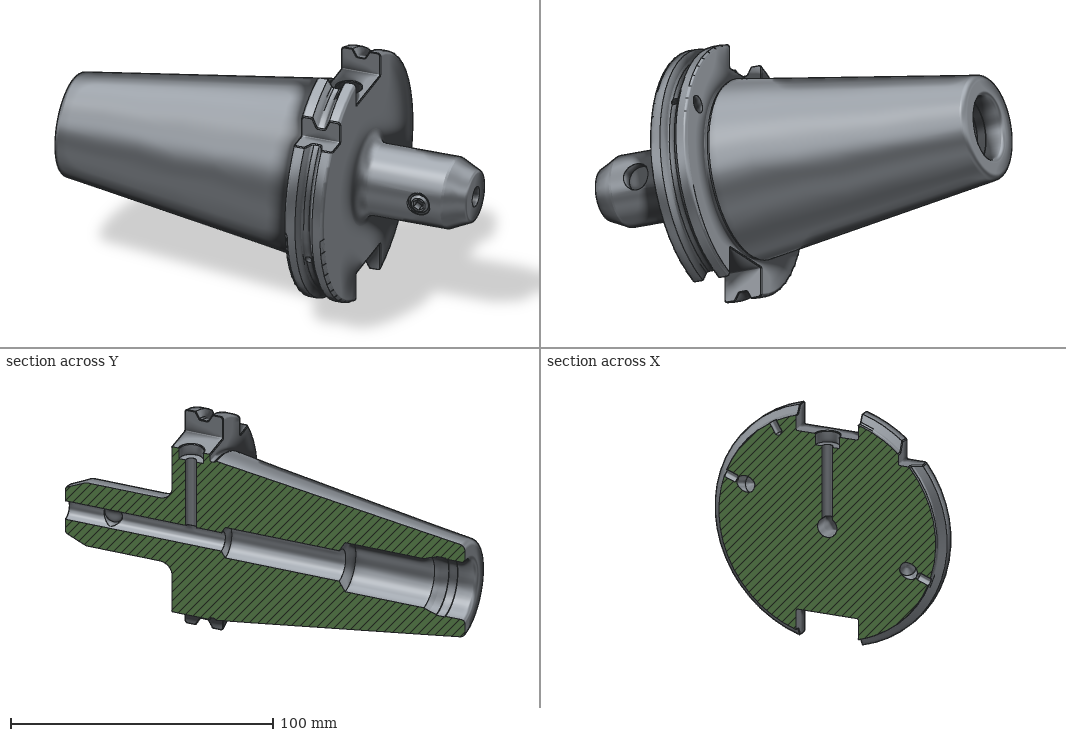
import cadquery as cq
import math

overall_length = 164.8
flange_start = 105.0
flange_end = 121.0
flange_middle = (flange_start + flange_end) / 2

taper_end_x = 102.5
taper_ratio = 7 / 24
taper_large_radius = 35.1
taper_small_radius = taper_large_radius - taper_end_x * taper_ratio / 2
taper_end_fillet = 2.5
neck_radius = 34.5
neck_start_x = 103.5
neck_fillet = 0.3

flange_radius = 48.8
flange_edge_fillet = 1.3
groove_floor_radius = 45.6
groove_floor_half_width = 1.6
groove_half_angle = 30.0
groove_fillet = 1.0

shank_radius = 14.0
shank_root_fillet = 5.0
nose_start_x = 156.2
nose_angle = 25.0
nose_shoulder_fillet = 2.3
nose_tip_fillet = 1.3

bore_mouth_fillet = 1.5
pilot_radius = 12.5
pilot_depth = 8.2
relief_radius = 12.9
relief_end = 11.9
lead_radius = 11.7
lead_end = 14.7
thread_radius = 10.7
thread_start = 17.0
thread_depth = 49.5
coolant_bore_radius = 6.6
coolant_bore_depth = 98.8
tool_bore_radius = 4.0
drill_tip_angle = 59.0

slot_width = 25.9
slot_half_width = slot_width / 2
top_slot_floor = 37.5
bottom_slot_floor = 35.3
notch_offset = 30.0
slot_corner_fillet = 0.5
slot_edge_chamfer = 0.3

recess_radius = 5.0
recess_chamfer = 0.3
recess_depth = 4.6
recess_pilot_radius = 2.1

coolant_hole_radius = 3.1
coolant_hole_circle = 41.8
coolant_hole_azimuth = 20.0
coolant_hole_tilt = 35.0
coolant_hole_depth = 11.5

groove_hole_radius = 1.5
groove_hole_depth = 5.0
single_hole_azimuth = 60.0

screw_x = 146.6
screw_radius = 3.8
screw_rim_radius = 4.6
screw_rim_depth = 1.3
screw_chamfer = 1.0
screw_tip_y = -4.8
screw_hole_end_y = -0.5
hex_across_flats = 4.0
hex_depth = 4.1
balance_hole_x = 145.0
balance_hole_radius = 5.3
balance_hole_depth = 5.0

match_tolerance = 0.02


def drill(origin, direction, radius, depth):
    """Cylinder with a conical drill tip, from origin along direction."""
    tip = radius / math.tan(math.radians(drill_tip_angle))
    plane = cq.Plane(origin=origin, normal=direction)
    body = cq.Workplane(plane).circle(radius).extrude(depth)
    cone = cq.Solid.makeCone(radius, 0, tip, pnt=plane.toWorldCoords((0, 0, depth)), dir=plane.zDir)
    return body.union(cq.Workplane(cone))


def revolve_profile(points):
    """Revolve an axial (x, radius) outline about the X axis."""
    return cq.Workplane("XZ").polyline(points).close().revolve(360, (0, 0, 0), (1, 0, 0))


def fillet_ring(body, x, radius, size):
    """Fillet the circular edge of the given radius that is centred on the axis at x."""
    rings = [
        edge
        for edge in body.edges("%CIRCLE").vals()
        if abs(edge.Center().x - x) < match_tolerance and abs(edge.radius() - radius) < match_tolerance
    ]
    return body.newObject(rings).fillet(size)


def outer_body():
    groove_half_width = groove_floor_half_width + (
        flange_radius - groove_floor_radius
    ) * math.tan(math.radians(groove_half_angle))
    nose_tip_radius = shank_radius - (overall_length - nose_start_x) * math.tan(math.radians(nose_angle))
    body = revolve_profile([
        (0, 0),
        (0, taper_small_radius),
        (taper_end_x, taper_large_radius),
        (neck_start_x, neck_radius),
        (flange_start, neck_radius),
        (flange_start, flange_radius),
        (flange_middle - groove_half_width, flange_radius),
        (flange_middle - groove_floor_half_width, groove_floor_radius),
        (flange_middle + groove_floor_half_width, groove_floor_radius),
        (flange_middle + groove_half_width, flange_radius),
        (flange_end, flange_radius),
        (flange_end, shank_radius),
        (nose_start_x, shank_radius),
        (overall_length, nose_tip_radius),
        (overall_length, 0),
    ])
    for x, radius, size in [
        (0, taper_small_radius, taper_end_fillet),
        (flange_start, flange_radius, flange_edge_fillet),
        (flange_end, flange_radius, flange_edge_fillet),
        (flange_middle - groove_floor_half_width, groove_floor_radius, groove_fillet),
        (flange_middle + groove_floor_half_width, groove_floor_radius, groove_fillet),
        (flange_start, neck_radius, neck_fillet),
        (flange_end, shank_radius, shank_root_fillet),
        (nose_start_x, shank_radius, nose_shoulder_fillet),
        (overall_length, nose_tip_radius, nose_tip_fillet),
    ]:
        body = fillet_ring(body, x, radius, size)
    return body


def bore():
    slope = math.tan(math.radians(drill_tip_angle))
    thread_tip = (thread_radius - coolant_bore_radius) / slope
    coolant_tip = (coolant_bore_radius - tool_bore_radius) / slope
    return revolve_profile([
        (0, 0),
        (0, pilot_radius),
        (pilot_depth, pilot_radius),
        (pilot_depth, relief_radius),
        (relief_end, relief_radius),
        (relief_end, pilot_radius),
        (lead_end, lead_radius),
        (thread_start, thread_radius),
        (thread_depth, thread_radius),
        (thread_depth + thread_tip, coolant_bore_radius),
        (coolant_bore_depth, coolant_bore_radius),
        (coolant_bore_depth + coolant_tip, tool_bore_radius),
        (overall_length, tool_bore_radius),
        (overall_length, 0),
    ])


def slot(y_start, y_end, z_start, z_end):
    """Box across the full thickness of the flange."""
    corner = cq.Workplane("XY", origin=(flange_start, y_start, z_start))
    return corner.box(flange_end - flange_start, y_end - y_start, z_end - z_start, centered=False)


def drive_slots():
    top = slot(-slot_half_width, slot_half_width, top_slot_floor, flange_radius)
    top = top.edges("|X and <Z").fillet(slot_corner_fillet)
    bottom = slot(-slot_half_width, slot_half_width, -flange_radius, -bottom_slot_floor)
    bottom = bottom.edges("|X and >Z").fillet(slot_corner_fillet)
    notch = slot(-flange_radius, -notch_offset, notch_offset, flange_radius)
    notch = notch.edges("|X and >Y and <Z").fillet(slot_corner_fillet)
    return top.union(bottom).union(notch)


def is_inner_corner(edge):
    """True for an edge along X that lies inside the flange rim, where a wall meets its floor."""
    along_x = edge.geomType() == "LINE" and abs(edge.tangentAt(0).x) > 1 - match_tolerance
    middle = edge.Center()
    return along_x and math.hypot(middle.y, middle.z) < groove_floor_radius


def chamfer_slot_edges(body):
    """Break the outer edges of the slot walls and floors, leaving the filleted inner corners."""
    slot_faces = body.faces("|Y or |Z").vals()
    edges = [edge for face in slot_faces for edge in face.Edges() if not is_inner_corner(edge)]
    return body.newObject(edges).chamfer(slot_edge_chamfer)


def slot_recess():
    floor = top_slot_floor - recess_depth
    wide = cq.Workplane("XY", origin=(flange_middle, 0, floor)).circle(recess_radius).extrude(recess_depth)
    mouth = cq.Solid.makeCone(
        recess_radius,
        recess_radius + recess_chamfer,
        recess_chamfer,
        pnt=(flange_middle, 0, top_slot_floor - recess_chamfer),
    )
    pilot = cq.Workplane("XY", origin=(flange_middle, 0, 0)).circle(recess_pilot_radius).extrude(floor)
    return wide.union(cq.Workplane(mouth)).union(pilot)


def radial_direction(azimuth):
    angle = math.radians(azimuth)
    return cq.Vector(0, math.cos(angle), math.sin(angle))


def groove_hole(azimuth):
    outward = radial_direction(azimuth)
    origin = outward * groove_floor_radius + cq.Vector(flange_middle, 0, 0)
    return drill(origin, outward * -1, groove_hole_radius, groove_hole_depth)


def flange_coolant_hole(azimuth):
    outward = radial_direction(azimuth)
    tilt = math.radians(coolant_hole_tilt)
    inward = cq.Vector(math.cos(tilt), 0, 0) - outward * math.sin(tilt)
    entry = outward * coolant_hole_circle + cq.Vector(flange_start, 0, 0)
    lead = coolant_hole_radius * math.tan(tilt)
    return drill(entry - inward * lead, inward, coolant_hole_radius, coolant_hole_depth + lead)


def screw_hole():
    hole = cq.Workplane("XZ", origin=(screw_x, screw_hole_end_y, 0))
    hole = hole.circle(screw_radius).extrude(shank_radius)
    rim = cq.Workplane("XZ", origin=(screw_x, screw_rim_depth - shank_radius, 0))
    return hole.union(rim.circle(screw_rim_radius).extrude(screw_rim_depth))


def balance_hole():
    origin = (balance_hole_x, shank_radius - balance_hole_depth, 0)
    return cq.Workplane("XZ", origin=origin).circle(balance_hole_radius).extrude(-balance_hole_depth)


def make_holder():
    body = outer_body().cut(bore())
    body = fillet_ring(body, 0, pilot_radius, bore_mouth_fillet)
    body = chamfer_slot_edges(body.cut(drive_slots())).cut(slot_recess())
    for azimuth in (coolant_hole_azimuth, coolant_hole_azimuth + 180):
        body = body.cut(flange_coolant_hole(azimuth)).cut(groove_hole(azimuth))
    body = body.cut(groove_hole(single_hole_azimuth))
    return body.cut(screw_hole()).cut(balance_hole())


def make_clamp_screw():
    length = shank_radius + screw_tip_y
    screw = cq.Workplane("XZ", origin=(screw_x, screw_tip_y, 0)).circle(screw_radius).extrude(length)
    screw = screw.faces("<Y").edges().chamfer(screw_chamfer)
    socket = cq.Workplane("XZ", origin=(screw_x, hex_depth - shank_radius, 0))
    socket = socket.polygon(6, hex_across_flats, circumscribed=True).extrude(hex_depth)
    return screw.cut(socket)


holder = make_holder()
clamp_screw = make_clamp_screw()
result = cq.Compound.makeCompound([holder.val(), clamp_screw.val()])